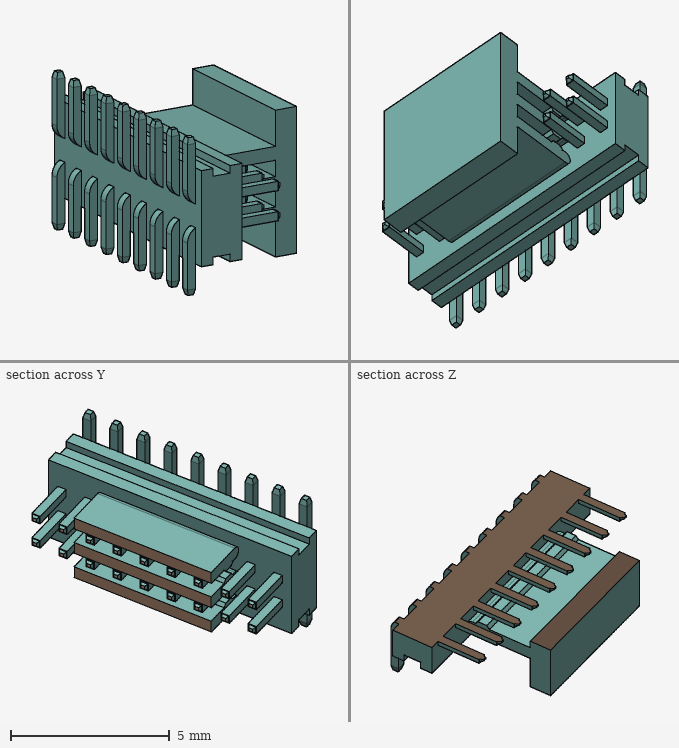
import cadquery as cq
import math


header_length = 9.0
pins_per_row = 9
pitch = header_length / pins_per_row
row_heights = (-pitch / 2, pitch / 2)

housing_height = 3.18
housing_depth = 1.49
groove_width = 0.62
groove_depth = 0.25

pin_width = 0.31
pin_length = 1.665
pin_tip_length = 0.12
pin_tip_base_width = 0.25
pin_tip_end_width = 0.11

leg_thickness = 0.3
leg_span = 5.21
leg_tip_length = 0.21
leg_tip_inset = 0.05
leg_bend_radius = 0.5

cap_length = 5.08
plate_height = 4.85
plate_thickness = 0.77
blade_thickness = 0.46
blade_length = 2.4
bump_base_width = 0.52
bump_crest_width = 0.32
bump_to_housing = 0.6
blade_heights = (-pitch, 0.0, pitch)


def make_housing_block():
    """Insulator bar with one groove along its top and one along its bottom."""
    block = cq.Workplane("XY").box(header_length, housing_depth, housing_height)
    groove_offset = (housing_height - groove_depth) / 2
    for side in (-1, 1):
        groove = cq.Workplane("XY").box(header_length, groove_width, groove_depth)
        block = block.cut(groove.translate((0, 0, side * groove_offset)))
    return block.translate((0, housing_depth / 2, 0))


def make_mating_pin():
    """Square pin along +Y from the back of the housing, stepping down to a blunt pyramid."""
    shaft_length = pin_length - pin_tip_length
    back_face = cq.Workplane("XZ", origin=(0, housing_depth, 0))
    shaft = back_face.rect(pin_width, pin_width).extrude(-shaft_length)
    tip = (
        cq.Workplane("XZ", origin=(0, housing_depth + shaft_length, 0))
        .rect(pin_tip_base_width, pin_tip_base_width)
        .workplane(offset=-pin_tip_length)
        .rect(pin_tip_end_width, pin_tip_end_width)
        .loft()
    )
    return shaft.union(tip)


def make_solder_leg():
    """Leg of the upper row: leaves the housing in a round bend and runs up to a tapered tip."""
    bend_bottom = pitch / 2 - pin_width / 2
    bend_center_y = leg_bend_radius - leg_thickness
    bend_center_z = bend_bottom + leg_bend_radius
    end_angle = math.acos(bend_center_y / leg_bend_radius)
    mid_angle = end_angle / 2
    bend_middle = (
        bend_center_y - leg_bend_radius * math.cos(mid_angle),
        bend_center_z - leg_bend_radius * math.sin(mid_angle),
    )
    bend_start = (0, bend_center_z - leg_bend_radius * math.sin(end_angle))
    straight_top = leg_span / 2 - leg_tip_length
    shank = (
        cq.Workplane("YZ")
        .moveTo(*bend_start)
        .threePointArc(bend_middle, (-leg_thickness, bend_center_z))
        .lineTo(-leg_thickness, straight_top)
        .lineTo(0, straight_top)
        .close()
        .extrude(pin_width / 2, both=True)
    )
    tip = (
        cq.Workplane("XY", origin=(0, -leg_thickness / 2, straight_top))
        .rect(pin_width, leg_thickness)
        .workplane(offset=leg_tip_length)
        .rect(pin_width - 2 * leg_tip_inset, leg_thickness - 2 * leg_tip_inset)
        .loft()
    )
    return shank.union(tip)


def make_header():
    """Housing with both rows of pins fixed in it."""
    header = make_housing_block()
    mating_pin = make_mating_pin()
    upper_leg = make_solder_leg()
    lower_leg = upper_leg.mirror("XY")
    for index in range(pins_per_row):
        x = (index - (pins_per_row - 1) / 2) * pitch
        for row_height in row_heights:
            header = header.union(mating_pin.translate((x, 0, row_height)))
        header = header.union(upper_leg.translate((x, 0, 0)))
        header = header.union(lower_leg.translate((x, 0, 0)))
    return header


def make_blade():
    """Flat blade reaching from the plate to the housing, with a fully rounded end."""
    half_thickness = blade_thickness / 2
    round_start = housing_depth + half_thickness
    plate_face = housing_depth + blade_length
    return (
        cq.Workplane("YZ")
        .moveTo(plate_face, half_thickness)
        .lineTo(round_start, half_thickness)
        .threePointArc((housing_depth, 0), (round_start, -half_thickness))
        .lineTo(plate_face, -half_thickness)
        .close()
        .extrude(cap_length / 2, both=True)
    )


def make_bump():
    """Gripping ridge for the upper face of a blade centred on Z = 0, its crest touching the pins."""
    base_height = blade_thickness / 2
    crest_height = pitch / 2 - pin_width / 2
    bump_y = housing_depth + bump_to_housing
    return (
        cq.Workplane("YZ")
        .moveTo(bump_y - bump_base_width / 2, base_height)
        .lineTo(bump_y - bump_crest_width / 2, crest_height)
        .lineTo(bump_y + bump_crest_width / 2, crest_height)
        .lineTo(bump_y + bump_base_width / 2, base_height)
        .close()
        .extrude(cap_length / 2, both=True)
    )


def make_cap():
    """Suction plate with three blades that clamp both pin rows between their bumps."""
    plate_y = housing_depth + blade_length + plate_thickness / 2
    cap = cq.Workplane("XY").box(cap_length, plate_thickness, plate_height)
    cap = cap.translate((0, plate_y, 0))
    blade = make_blade()
    for blade_height in blade_heights:
        cap = cap.union(blade.translate((0, 0, blade_height)))
    upward_bump = make_bump()
    downward_bump = upward_bump.mirror("XY")
    for lower_blade, upper_blade in zip(blade_heights, blade_heights[1:]):
        cap = cap.union(upward_bump.translate((0, 0, lower_blade)))
        cap = cap.union(downward_bump.translate((0, 0, upper_blade)))
    return cap


header = make_header()
cap = make_cap()

result = cq.Compound.makeCompound([header.solids().val(), cap.solids().val()])